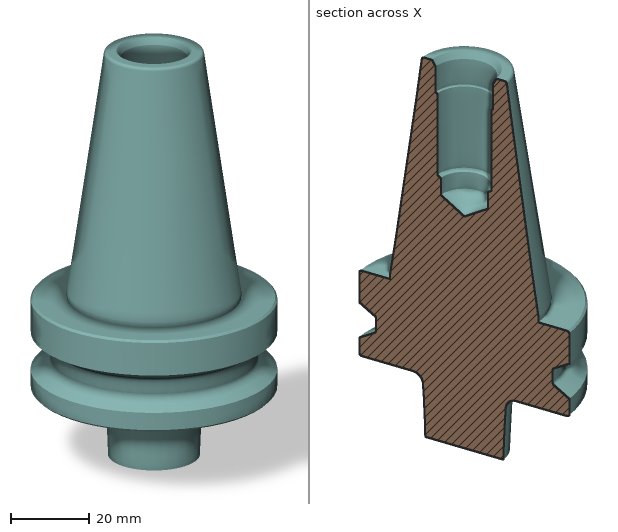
import cadquery as cq
import math

length = 110.4
flange_radius = 63.0 / 2
flange_bottom = 18.1
flange_top = 43.1
flange_edge_chamfer = 0.5

groove_floor_radius = 26.5
groove_floor_bottom = 26.3
groove_floor_width = 4.4
groove_flank_angle = 30
groove_root_fillet = 0.5

collar_radius = 22.3
collar_height = 1.3
shank_top_radius = 12.7
shank_top_fillet = 0.9

nose_end_radius = 23.5 / 2
nose_root_radius = 12.6
nose_fillet = 3.0

mouth_radius = 9.6
mouth_depth = 1.8
counterbore_radius = 8.5
counterbore_depth = 9.2
thread_radius = 16.0 / 2
thread_depth = 33.1
drill_radius = 7.0
drill_depth = 38.6
drill_point_angle = 118


def make_body():
    """Revolve the shank, the grooved flange and the nose as one outline."""
    flank_height = (flange_radius - groove_floor_radius) * math.tan(math.radians(groove_flank_angle))
    groove_floor_top = groove_floor_bottom + groove_floor_width

    nose_draft = math.atan((nose_root_radius - nose_end_radius) / flange_bottom)
    fillet_center_height = flange_bottom - nose_fillet
    taper_radius = nose_end_radius + fillet_center_height * math.tan(nose_draft)
    fillet_center_radius = taper_radius + nose_fillet / math.cos(nose_draft)
    fillet_start_radius = fillet_center_radius - nose_fillet * math.cos(nose_draft)
    fillet_start_height = fillet_center_height + nose_fillet * math.sin(nose_draft)

    outline = (
        cq.Workplane("XZ")
        .lineTo(nose_end_radius, 0)
        .lineTo(fillet_start_radius, fillet_start_height)
        .tangentArcPoint((fillet_center_radius, flange_bottom), relative=False)
        .lineTo(flange_radius - flange_edge_chamfer, flange_bottom)
        .lineTo(flange_radius, flange_bottom + flange_edge_chamfer)
        .lineTo(flange_radius, groove_floor_bottom - flank_height)
        .lineTo(groove_floor_radius, groove_floor_bottom)
        .lineTo(groove_floor_radius, groove_floor_top)
        .lineTo(flange_radius, groove_floor_top + flank_height)
        .lineTo(flange_radius, flange_top - flange_edge_chamfer)
        .lineTo(flange_radius - flange_edge_chamfer, flange_top)
        .lineTo(collar_radius, flange_top)
        .lineTo(collar_radius, flange_top + collar_height)
        .lineTo(shank_top_radius, length)
        .lineTo(0, length)
        .close()
    )
    body = outline.revolve(360, (0, 0, 0), (0, 1, 0))

    body = body.faces(">Z").edges().fillet(shank_top_fillet)

    margin = 0.1
    groove_roots = cq.selectors.BoxSelector(
        (-margin, -margin, groove_floor_bottom - margin),
        (margin, margin, groove_floor_top + margin),
    )
    return body.edges(groove_roots).fillet(groove_root_fillet)


def make_bore():
    """Revolve the chamfered mouth, counterbore, thread core and drilled end."""
    counterbore_floor = length - counterbore_depth
    thread_floor = length - thread_depth
    drill_floor = length - drill_depth

    point_slope = 1 / math.tan(math.radians(drill_point_angle / 2))
    counterbore_step = (counterbore_radius - thread_radius) * point_slope
    thread_step = (thread_radius - drill_radius) * point_slope
    point_height = drill_radius * point_slope

    outline = (
        cq.Workplane("XZ")
        .moveTo(0, length)
        .lineTo(mouth_radius, length)
        .lineTo(counterbore_radius, length - mouth_depth)
        .lineTo(counterbore_radius, counterbore_floor)
        .lineTo(thread_radius, counterbore_floor - counterbore_step)
        .lineTo(thread_radius, thread_floor)
        .lineTo(drill_radius, thread_floor - thread_step)
        .lineTo(drill_radius, drill_floor)
        .lineTo(0, drill_floor - point_height)
        .close()
    )
    return outline.revolve(360, (0, 0, 0), (0, 1, 0))


result = make_body().cut(make_bore())